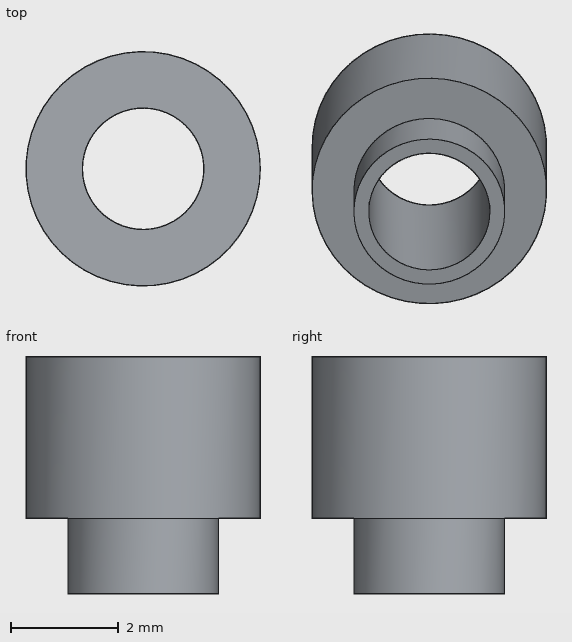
import cadquery as cq

total_height = 4.4
body_diameter = 4.35
spigot_diameter = 2.8
bore_diameter = 2.25
spigot_height = 1.4
body_height = total_height - spigot_height

spigot = cq.Workplane("XY").circle(spigot_diameter / 2).extrude(spigot_height)

stepped_body = (
    spigot.faces(">Z")
    .workplane()
    .circle(body_diameter / 2)
    .extrude(body_height)
)

result = stepped_body.faces(">Z").workplane().hole(bore_diameter)